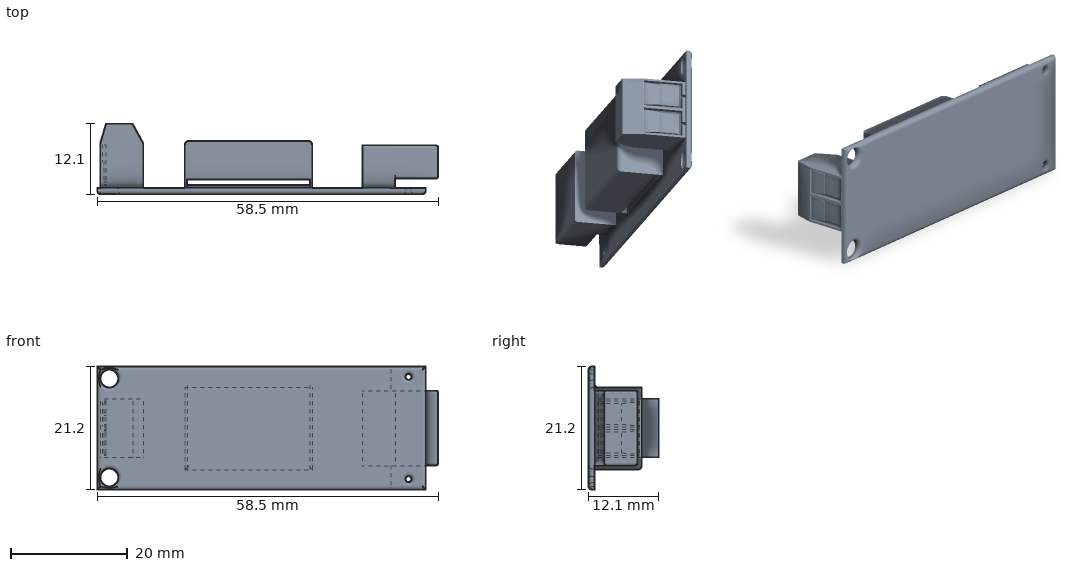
import cadquery as cq


PLATE_LENGTH = 56.4
PLATE_HEIGHT = 21.2
PLATE_THICKNESS = 1.1
PLATE_ROUND = 0.7

RELIEF_LEFT = 50.35
RELIEF_DEPTH = 0.09

LARGE_HOLE = (3.05, 2.1, 2.1)
SMALL_HOLE = (1.0, 53.4, 1.8)

TERMINAL_LEFT = 0.5
TERMINAL_RIGHT = 7.95
TERMINAL_TOP_LEFT = 1.5
TERMINAL_TOP_RIGHT = 6.1
TERMINAL_SHOULDER = 8.7
TERMINAL_BACK = 12.1
TERMINAL_HEIGHT = 10.05

ENTRY_PITCH = 4.9
ENTRY_HEIGHT = 4.45
ENTRY_BOTTOM = 1.7
ENTRY_TOP = 8.55
ENTRY_DEPTH = 0.95
GUIDE_HEIGHT = 4.1
GUIDE_DEPTH = 0.35
CLAMP_DEPTH = 0.6
CLAMP_HEIGHT = 3.55
CLAMP_BOTTOM = 2.15
CLAMP_TOP = 5.7
NOTCH_HEIGHT = 0.5

MODULE_LEFT = 15.05
MODULE_RIGHT = 36.9
MODULE_BACK = 9.2
MODULE_LOW = -7.15
MODULE_HIGH = 6.95
MODULE_ROUND = 0.75
MODULE_FOOT_ROUND = 0.5
SLOT_SIDE_WALL = 0.4
SLOT_TOP = 2.5

CONNECTOR_LEFT = 45.5
CONNECTOR_RIGHT = 58.5
CONNECTOR_STEP = 51.1
CONNECTOR_FRONT = 2.7
CONNECTOR_BACK = 8.4
CONNECTOR_HEIGHT = 12.85
CONNECTOR_ROUND = 0.45


def box_between(x_range, y_range, z_range):
    """Box spanning the given (low, high) ranges."""
    x_low, x_high = x_range
    y_low, y_high = y_range
    z_low, z_high = z_range
    size = (x_high - x_low, y_high - y_low, z_high - z_low)
    return cq.Workplane("XY").box(*size, centered=False).translate((x_low, y_low, z_low))


def centred_range(height, middle=0.0):
    return (middle - height / 2, middle + height / 2)


def hole_cutter(diameter):
    """Through hole along Y whose mouth flares out with a convex round at the front face."""
    radius = diameter / 2
    mouth = radius + PLATE_ROUND
    return (
        cq.Workplane("XY")
        .moveTo(0, 0)
        .lineTo(mouth, 0)
        .radiusArc((radius, PLATE_ROUND), PLATE_ROUND)
        .lineTo(radius, PLATE_THICKNESS)
        .lineTo(0, PLATE_THICKNESS)
        .close()
        .revolve(360, (0, 0), (0, 1))
    )


def corner_relief(side):
    """Shallow step in the back of the plate around a small hole; side is +1 or -1 along Z."""
    edge = side * PLATE_HEIGHT / 2
    inner = side * CONNECTOR_HEIGHT / 2
    return box_between(
        (RELIEF_LEFT, PLATE_LENGTH),
        (PLATE_THICKNESS - RELIEF_DEPTH, PLATE_THICKNESS),
        (min(edge, inner), max(edge, inner)),
    )


def make_plate():
    plate = box_between((0, PLATE_LENGTH), (0, PLATE_THICKNESS), centred_range(PLATE_HEIGHT))
    plate = plate.faces("<Y").edges().fillet(PLATE_ROUND)
    for diameter, x, edge_distance in (LARGE_HOLE, SMALL_HOLE):
        z = PLATE_HEIGHT / 2 - edge_distance
        for side in (-1, 1):
            plate = plate.cut(hole_cutter(diameter).translate((x, 0, side * z)))
    return plate.cut(corner_relief(1)).cut(corner_relief(-1))


def wire_entry(middle):
    """Cutter for one wire entry: recess around a raised tapered guide and a lower clamp pad, plus a notch."""
    floor = TERMINAL_LEFT + ENTRY_DEPTH
    recess = box_between((TERMINAL_LEFT, floor), (ENTRY_BOTTOM, ENTRY_TOP), centred_range(ENTRY_HEIGHT, middle))
    guide = (
        cq.Workplane("YZ", origin=(TERMINAL_LEFT + GUIDE_DEPTH, 0, middle))
        .moveTo(CLAMP_TOP, -CLAMP_HEIGHT / 2)
        .lineTo(ENTRY_TOP, -GUIDE_HEIGHT / 2)
        .lineTo(ENTRY_TOP, GUIDE_HEIGHT / 2)
        .lineTo(CLAMP_TOP, CLAMP_HEIGHT / 2)
        .close()
        .extrude(ENTRY_DEPTH - GUIDE_DEPTH)
    )
    clamp = box_between(
        (TERMINAL_LEFT + CLAMP_DEPTH, floor),
        (CLAMP_BOTTOM, CLAMP_TOP),
        centred_range(CLAMP_HEIGHT, middle),
    )
    notch = box_between(
        (TERMINAL_LEFT, floor),
        (PLATE_THICKNESS, ENTRY_BOTTOM),
        centred_range(NOTCH_HEIGHT, middle),
    )
    return recess.cut(guide).cut(clamp).union(notch)


def make_terminal():
    base = PLATE_THICKNESS
    terminal = (
        cq.Workplane("XY", origin=(0, 0, -TERMINAL_HEIGHT / 2))
        .moveTo(TERMINAL_LEFT, base)
        .lineTo(TERMINAL_RIGHT, base)
        .lineTo(TERMINAL_RIGHT, TERMINAL_SHOULDER)
        .lineTo(TERMINAL_TOP_RIGHT, TERMINAL_BACK)
        .lineTo(TERMINAL_TOP_LEFT, TERMINAL_BACK)
        .lineTo(TERMINAL_LEFT, TERMINAL_SHOULDER)
        .close()
        .extrude(TERMINAL_HEIGHT)
    )
    for side in (-1, 1):
        terminal = terminal.cut(wire_entry(side * ENTRY_PITCH / 2))
    return terminal


def make_module():
    """Rounded module with a slot through it above the plate and a concave round along its upper foot."""
    base = PLATE_THICKNESS
    module = box_between((MODULE_LEFT, MODULE_RIGHT), (base, MODULE_BACK), (MODULE_LOW, MODULE_HIGH))
    module = module.edges("(>Y and |Z) or (>Y and <Z)").fillet(MODULE_ROUND)
    slot_x = (MODULE_LEFT + SLOT_SIDE_WALL, MODULE_RIGHT - SLOT_SIDE_WALL)
    slot_y = (base + MODULE_FOOT_ROUND, SLOT_TOP)
    module = module.cut(box_between(slot_x, slot_y, (MODULE_LOW, MODULE_HIGH)))
    foot = (
        cq.Workplane("YZ", origin=(slot_x[0], 0, 0))
        .moveTo(base, MODULE_HIGH)
        .lineTo(base + MODULE_FOOT_ROUND, MODULE_HIGH)
        .radiusArc((base, MODULE_HIGH + MODULE_FOOT_ROUND), MODULE_FOOT_ROUND)
        .close()
        .extrude(slot_x[1] - slot_x[0])
    )
    return module.union(foot)


def make_connector():
    z_range = centred_range(CONNECTOR_HEIGHT)
    middle_y = (CONNECTOR_FRONT + CONNECTOR_BACK) / 2
    shell = box_between((CONNECTOR_LEFT, CONNECTOR_RIGHT), (CONNECTOR_FRONT, CONNECTOR_BACK), z_range)
    shell = shell.edges("|X or >X").fillet(CONNECTOR_ROUND)
    foot = box_between((CONNECTOR_LEFT, CONNECTOR_STEP), (PLATE_THICKNESS, middle_y), z_range)
    return shell.union(foot)


result = make_plate()
for component in (make_terminal(), make_module(), make_connector()):
    result = result.union(component)